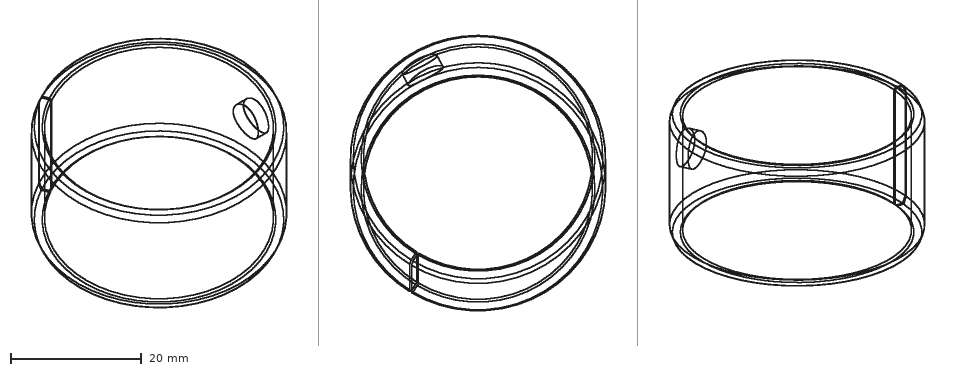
import cadquery as cq
import math

outer_diameter = 39.0
inner_diameter = 35.0
height = 20.0
outer_chamfer_height = 1.2
outer_chamfer_angle = 20.0
inner_chamfer = 0.35
slit_angle = 1.0
oil_hole_diameter = 6.0
oil_hole_angle_from_slit = 120.0

slit_edge_angle = 180.0
oil_hole_angle = slit_edge_angle - slit_angle - oil_hole_angle_from_slit

outer_radius = outer_diameter / 2
inner_radius = inner_diameter / 2
outer_chamfer_depth = outer_chamfer_height * math.tan(math.radians(outer_chamfer_angle))


def make_sleeve():
    """Revolve the chamfered wall section about Z, stopping short to leave the slit."""
    half_height = height / 2
    outer_end_radius = outer_radius - outer_chamfer_depth
    inner_end_radius = inner_radius + inner_chamfer
    outer_edge_z = half_height - outer_chamfer_height
    inner_edge_z = half_height - inner_chamfer
    section = [
        (inner_end_radius, -half_height),
        (outer_end_radius, -half_height),
        (outer_radius, -outer_edge_z),
        (outer_radius, outer_edge_z),
        (outer_end_radius, half_height),
        (inner_end_radius, half_height),
        (inner_radius, inner_edge_z),
        (inner_radius, -inner_edge_z),
    ]
    return (
        cq.Workplane("XZ")
        .polyline(section)
        .close()
        .revolve(360 - slit_angle, (0, 0), (0, 1))
        .rotate((0, 0, 0), (0, 0, 1), slit_edge_angle)
    )


def make_oil_hole():
    """Radial cutter through one wall at mid height."""
    return (
        cq.Workplane("YZ")
        .circle(oil_hole_diameter / 2)
        .extrude(outer_diameter)
        .rotate((0, 0, 0), (0, 0, 1), oil_hole_angle)
    )


result = make_sleeve().cut(make_oil_hole())